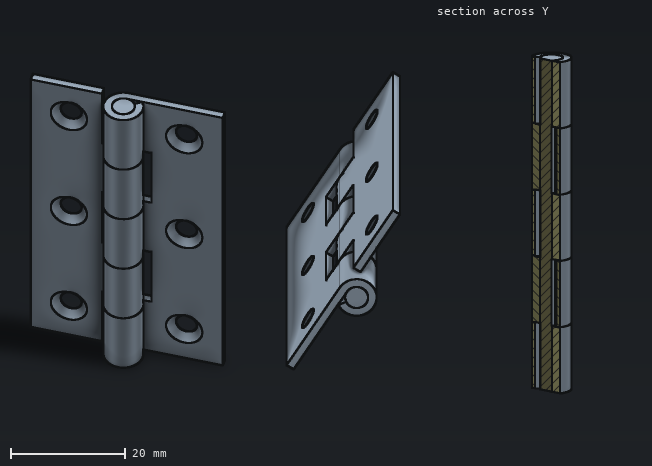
import cadquery as cq
import math

height = 60.0
width = 35.0
leaf_thickness = 1.5
pin_diameter = 4.0

knuckle_count = 5
knuckle_height = height / knuckle_count
pin_radius = pin_diameter / 2
knuckle_radius = pin_radius + leaf_thickness
roll_end_angle = 34.0
notch_edge = 4.5

hole_diameter = 3.8
countersink_diameter = 6.6
countersink_angle = 90.0
hole_offset = 10.5
hole_end_margin = 7.0
hole_heights = [hole_end_margin, height / 2, height - hole_end_margin]

leaf_front = pin_radius
leaf_back = knuckle_radius


def polar(radius, degrees):
    angle = math.radians(degrees)
    return radius * math.cos(angle), radius * math.sin(angle)


def make_knuckle(index):
    """One rolled strip, running from the leaf edge around the pin."""
    middle_angle = (90 + 360 + roll_end_angle) / 2
    return (
        cq.Workplane("XY")
        .workplane(offset=index * knuckle_height)
        .moveTo(notch_edge, leaf_back)
        .lineTo(0, leaf_back)
        .threePointArc(polar(knuckle_radius, middle_angle), polar(knuckle_radius, roll_end_angle))
        .lineTo(*polar(pin_radius, roll_end_angle))
        .threePointArc(polar(pin_radius, middle_angle), (0, leaf_front))
        .lineTo(notch_edge, leaf_front)
        .close()
        .extrude(knuckle_height)
    )


def make_leaf(knuckle_indices):
    """A leaf on the +X side with countersunk holes and the given knuckles."""
    plate = cq.Workplane("XY").box(
        width / 2 - notch_edge, leaf_thickness, height, centered=False
    ).translate((notch_edge, leaf_front, 0))
    plate = (
        plate.faces("<Y")
        .workplane(origin=(0, leaf_front, 0))
        .pushPoints([(hole_offset, z) for z in hole_heights])
        .cskHole(hole_diameter, countersink_diameter, countersink_angle)
    )
    for index in knuckle_indices:
        plate = plate.union(make_knuckle(index))
    return plate.clean()


def make_pin():
    return cq.Workplane("XY").circle(pin_radius).extrude(height)


right_leaf = make_leaf(range(0, knuckle_count, 2))
left_leaf = make_leaf(range(1, knuckle_count, 2)).mirror("YZ")
pin = make_pin()

result = cq.Compound.makeCompound([right_leaf.val(), left_leaf.val(), pin.val()])